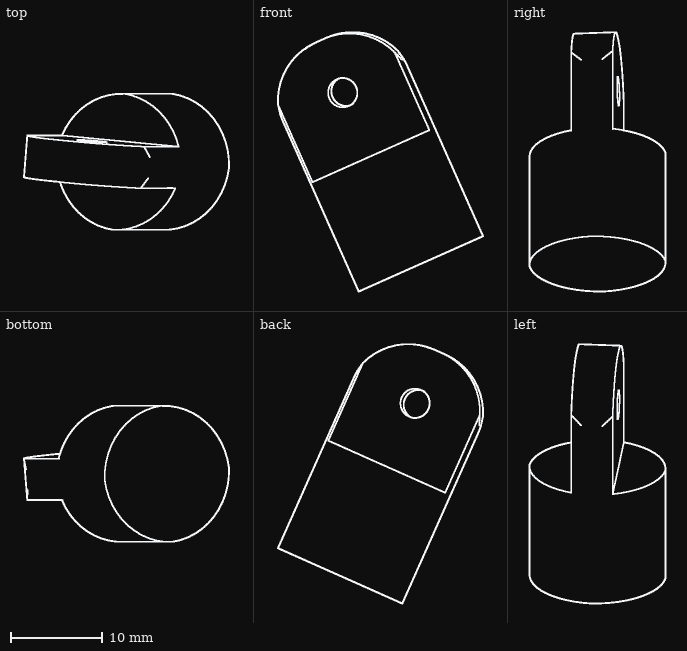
import cadquery as cq
import math

body_diameter = 14.97
diagonal_diameter = 14.67
arc_span = 90.0
shoulder_height = 13.0

tang_thickness = 4.57
total_height = 26.83
tang_corner_radius = 7.0

hole_diameter = 3.2
hole_height = 20.6

twist_angle = -5.0
tilt_angle = -24.0


def polar_point(radius, angle):
    radians = math.radians(angle)
    return (radius * math.cos(radians), radius * math.sin(radians))


def make_bar(height):
    """Upright bar whose outline is four arcs, each spanning a quarter turn."""
    outline = cq.Workplane("XY").moveTo(*polar_point(body_diameter / 2, 0))
    for quarter in range(4):
        middle = polar_point(diagonal_diameter / 2, (quarter + 0.5) * arc_span)
        end = polar_point(body_diameter / 2, (quarter + 1) * arc_span)
        outline = outline.threePointArc(middle, end)
    return outline.close().extrude(height)


def make_tang():
    """Slab with two rounded top corners, trimmed to the outline of the base."""
    slab = (
        cq.Workplane("XY")
        .rect(body_diameter, tang_thickness)
        .extrude(total_height)
        .edges("|Y and >Z")
        .fillet(tang_corner_radius)
    )
    return slab.intersect(make_bar(total_height))


def make_cross_hole():
    return (
        cq.Workplane("XZ")
        .center(0, hole_height)
        .circle(hole_diameter / 2)
        .extrude(tang_thickness, both=True)
    )


upright_part = make_bar(shoulder_height).union(make_tang()).cut(make_cross_hole())

result = (
    upright_part
    .rotate((0, 0, 0), (0, 0, 1), twist_angle)
    .rotate((0, 0, 0), (0, 1, 0), tilt_angle)
)